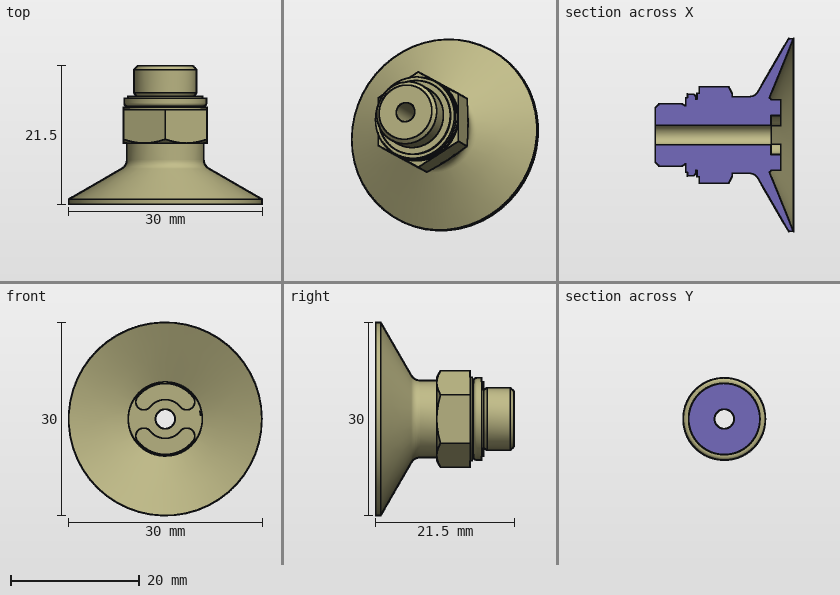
import cadquery as cq
import math


rim_radius = 15.0
rim_thickness = 0.8
cup_slope = math.radians(30)
cup_neck_radius = 6.0
cup_neck_fillet = 1.5

insert_radius = 5.75
insert_base_y = 3.75
insert_rounding = 0.25
insert_face_radius = insert_radius - insert_rounding
insert_face_y = insert_base_y - insert_rounding
bore_radius = 1.5

pad_height = 1.5
pad_inner_radius = 3.0
pad_lobe_center_z = 2.65

hex_across_flats = 13.0
hex_start_y = 9.5
hex_end_y = 14.65
hex_chamfer_angle = math.radians(30)

collar_radius = hex_across_flats / 2
collar_end_y = 15.03
groove_radius = 5.55
ring_start_y = 15.17
ring_end_y = 16.47
ring_radius = 6.4
ring_rounding = 0.55
washer_radius = 5.8
washer_end_y = 16.77

total_length = 21.5
thread_radius = 9.73 / 2
undercut_depth = 0.35
undercut_end_y = 17.29
thread_chamfer = 0.6


def make_body():
    """Revolve the cup, seal ring and threaded stub around the Y axis."""
    fillet_sweep = math.pi / 2 - cup_slope
    fillet_center_r = cup_neck_radius + cup_neck_fillet
    cone_end_r = fillet_center_r - cup_neck_fillet * math.cos(fillet_sweep)
    cone_end_y = rim_thickness + (rim_radius - cone_end_r) * math.tan(cup_slope)
    fillet_center_y = cone_end_y + cup_neck_fillet * math.sin(fillet_sweep)
    fillet_mid = (
        fillet_center_r - cup_neck_fillet * math.cos(fillet_sweep / 2),
        fillet_center_y - cup_neck_fillet * math.sin(fillet_sweep / 2),
    )
    arc_mid_inset = 1 - math.sqrt(0.5)

    profile = (
        cq.Workplane("XY")
        .moveTo(bore_radius, insert_face_y)
        .lineTo(insert_face_radius, insert_face_y)
        .threePointArc(
            (
                insert_radius - insert_rounding * arc_mid_inset,
                insert_face_y + insert_rounding * arc_mid_inset,
            ),
            (insert_radius, insert_base_y),
        )
        .lineTo(rim_radius, 0)
        .lineTo(rim_radius, rim_thickness)
        .lineTo(cone_end_r, cone_end_y)
        .threePointArc(fillet_mid, (cup_neck_radius, fillet_center_y))
        .lineTo(cup_neck_radius, hex_end_y)
        .lineTo(collar_radius, hex_end_y)
        .lineTo(collar_radius, collar_end_y)
        .lineTo(groove_radius, collar_end_y)
        .lineTo(groove_radius, ring_start_y)
        .lineTo(ring_radius - ring_rounding, ring_start_y)
        .threePointArc(
            (
                ring_radius - ring_rounding * arc_mid_inset,
                ring_start_y + ring_rounding * arc_mid_inset,
            ),
            (ring_radius, ring_start_y + ring_rounding),
        )
        .lineTo(ring_radius, ring_end_y)
        .lineTo(washer_radius, ring_end_y)
        .lineTo(washer_radius, washer_end_y)
        .lineTo(thread_radius - undercut_depth, washer_end_y)
        .lineTo(thread_radius, undercut_end_y)
        .lineTo(thread_radius, total_length - thread_chamfer)
        .lineTo(thread_radius - thread_chamfer, total_length)
        .lineTo(bore_radius, total_length)
        .close()
    )
    return profile.revolve(360, (0, 0, 0), (0, 1, 0))


def make_hexagon():
    """Hexagon with corners on +Z and -Z, its cup-side corners chamfered conically."""
    length = hex_end_y - hex_start_y
    corner_radius = hex_across_flats / 2 / math.cos(math.pi / 6)
    chamfer_start_radius = hex_across_flats / 2
    chamfer_length = (corner_radius - chamfer_start_radius) * math.tan(hex_chamfer_angle)
    prism = (
        cq.Workplane("XZ", origin=(0, hex_start_y, 0))
        .polygon(6, 2 * corner_radius)
        .extrude(-length)
        .rotate((0, 0, 0), (0, 1, 0), 90)
    )
    envelope = (
        cq.Workplane("XY")
        .moveTo(bore_radius, hex_start_y)
        .lineTo(chamfer_start_radius, hex_start_y)
        .lineTo(corner_radius, hex_start_y + chamfer_length)
        .lineTo(corner_radius, hex_end_y)
        .lineTo(bore_radius, hex_end_y)
        .close()
        .revolve(360, (0, 0, 0), (0, 1, 0))
    )
    return prism.intersect(envelope)


def make_pad(side):
    """Curved pad on the +Z (side = 1) or -Z (side = -1) half of the insert face."""
    lobe_radius = (insert_face_radius - pad_inner_radius) / 2
    lobe_center_radius = pad_inner_radius + lobe_radius
    lobe_angle = math.asin(pad_lobe_center_z / lobe_center_radius)
    lobe_x = lobe_center_radius * math.cos(lobe_angle)
    outer_x = insert_face_radius * math.cos(lobe_angle)
    outer_z = insert_face_radius * math.sin(lobe_angle)
    inner_x = pad_inner_radius * math.cos(lobe_angle)
    inner_z = pad_inner_radius * math.sin(lobe_angle)
    lobe_mid_x = lobe_x + lobe_radius * math.sin(lobe_angle)
    lobe_mid_z = pad_lobe_center_z - lobe_radius * math.cos(lobe_angle)
    return (
        cq.Workplane("XZ", origin=(0, insert_face_y, 0))
        .moveTo(outer_x, side * outer_z)
        .threePointArc((0, side * insert_face_radius), (-outer_x, side * outer_z))
        .threePointArc((-lobe_mid_x, side * lobe_mid_z), (-inner_x, side * inner_z))
        .threePointArc((0, side * pad_inner_radius), (inner_x, side * inner_z))
        .threePointArc((lobe_mid_x, side * lobe_mid_z), (outer_x, side * outer_z))
        .close()
        .extrude(pad_height)
    )


result = make_body().union(make_hexagon())
for pad_side in (1, -1):
    result = result.union(make_pad(pad_side))